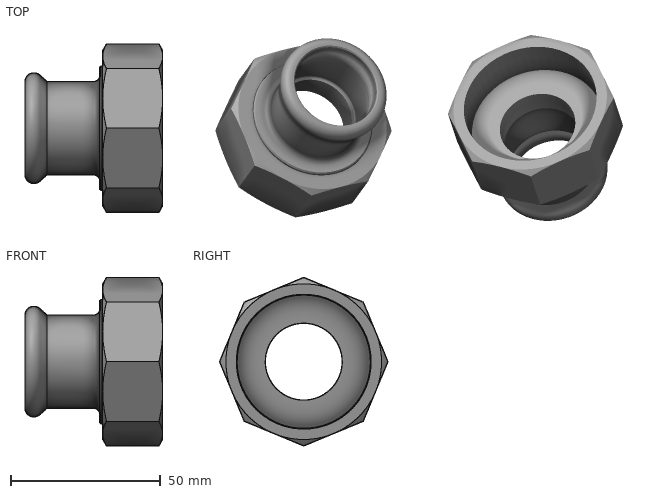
import cadquery as cq
import math


wall = 1.5
socket_bore_radius = 28.2 / 2
tube_radius = socket_bore_radius + wall
bead_radius = 3.0
bead_center_x = bead_radius
bead_center_r = 15.5
bead_cone_angle = math.radians(42)
inner_bend_radius = 3.0

lip_radius = 28.8 / 2
lip_chamfer = 0.4
lip_land_end_x = 1.27
lip_roll_radius = 2.3
lip_roll_angle = math.radians(60)

through_bore_radius = 25.6 / 2
pipe_stop_x = 23.0
pipe_stop_fillet = 0.5

collar_radius = 41.6 / 2
collar_start_x = 25.0
collar_fillet = 2.1
collar_chamfer_depth = 0.4
collar_chamfer_length = 0.5
flange_radius = 44.5 / 2
flange_thickness = 3.0

nut_sides = 8
nut_across_flats = 52.0
nut_start_x = 26.0
nut_length = 20.0
nut_lip_diameter = 42.0
nut_lip_thickness = 3.0
nut_bore_diameter = 45.05
nut_chamfer_angle = math.radians(30)
nut_lip_end_x = nut_start_x + nut_lip_thickness
flange_end_x = nut_lip_end_x + flange_thickness


def arc_point(center_x, center_r, radius, angle):
    """Point on a circle; the angle runs from the outward radial direction toward +X."""
    return (center_x + radius * math.sin(angle), center_r + radius * math.cos(angle))


def revolve_about_x(profile):
    return profile.revolve(360, (0, 0, 0), (1, 0, 0))


def bead_point(angle, radius=bead_radius):
    return arc_point(bead_center_x, bead_center_r, radius, angle)


def cone_end_x(cone_start, end_radius):
    """X where a bead cone that begins at cone_start comes down to end_radius."""
    start_x, start_radius = cone_start
    return start_x + (start_radius - end_radius) / math.tan(bead_cone_angle)


def make_fitting():
    """Press socket with rolled bead, pipe stop, collar and flange, revolved from one profile."""
    bead_end = bead_point(bead_cone_angle)
    fillet_start_x = collar_start_x - collar_fillet
    fillet_center_r = tube_radius + collar_fillet
    fillet_middle = arc_point(fillet_start_x, fillet_center_r, collar_fillet, math.radians(135))
    chamfer_start_r = collar_radius - collar_chamfer_depth
    chamfer_end_x = collar_start_x + collar_chamfer_length

    stop_center_x = pipe_stop_x - pipe_stop_fillet
    stop_center_r = socket_bore_radius - pipe_stop_fillet
    stop_middle = arc_point(stop_center_x, stop_center_r, pipe_stop_fillet, math.radians(45))

    inner_cone_start = bead_point(bead_cone_angle, bead_radius - wall)
    bend_corner_x = cone_end_x(inner_cone_start, socket_bore_radius)
    bend_x = bend_corner_x + inner_bend_radius * math.tan(bead_cone_angle / 2)
    bend_center_r = socket_bore_radius + inner_bend_radius
    bend_middle = arc_point(bend_x, bend_center_r, inner_bend_radius, math.pi + bead_cone_angle / 2)
    bend_end = arc_point(bend_x, bend_center_r, inner_bend_radius, math.pi + bead_cone_angle)

    roll_center_r = lip_radius + lip_roll_radius
    roll_end = arc_point(lip_land_end_x, roll_center_r, lip_roll_radius, math.pi - lip_roll_angle)
    roll_middle = arc_point(
        lip_land_end_x, roll_center_r, lip_roll_radius, math.pi - lip_roll_angle / 2
    )

    profile = (
        cq.Workplane("XZ")
        .moveTo(0, lip_radius + lip_chamfer)
        .lineTo(0, bead_center_r)
        .threePointArc(bead_point(-bead_cone_angle), bead_end)
        .lineTo(cone_end_x(bead_end, tube_radius), tube_radius)
        .lineTo(fillet_start_x, tube_radius)
        .threePointArc(fillet_middle, (collar_start_x, fillet_center_r))
        .lineTo(collar_start_x, chamfer_start_r)
        .lineTo(chamfer_end_x, collar_radius)
        .lineTo(nut_lip_end_x, collar_radius)
        .lineTo(nut_lip_end_x, flange_radius)
        .lineTo(flange_end_x, flange_radius)
        .lineTo(flange_end_x, through_bore_radius)
        .lineTo(pipe_stop_x, through_bore_radius)
        .lineTo(pipe_stop_x, stop_center_r)
        .threePointArc(stop_middle, (stop_center_x, socket_bore_radius))
        .lineTo(bend_x, socket_bore_radius)
        .threePointArc(bend_middle, bend_end)
        .lineTo(*inner_cone_start)
        .lineTo(*roll_end)
        .threePointArc(roll_middle, (lip_land_end_x, lip_radius))
        .lineTo(lip_chamfer, lip_radius)
        .close()
    )
    return revolve_about_x(profile)


def make_nut():
    """Octagonal nut with an inward lip and its corners turned down to cones at both ends."""
    flat_radius = nut_across_flats / 2
    corner_radius = flat_radius / math.cos(math.pi / nut_sides)
    corner_chamfer = (corner_radius - flat_radius) * math.tan(nut_chamfer_angle)
    nut_end_x = nut_start_x + nut_length

    prism = (
        cq.Workplane("YZ", origin=(nut_start_x, 0, 0))
        .polygon(nut_sides, 2 * corner_radius)
        .circle(nut_lip_diameter / 2)
        .extrude(nut_length)
    )
    bore = (
        cq.Workplane("YZ", origin=(nut_lip_end_x, 0, 0))
        .circle(nut_bore_diameter / 2)
        .extrude(nut_length - nut_lip_thickness)
    )
    turned_blank = revolve_about_x(
        cq.Workplane("XZ")
        .moveTo(nut_start_x, 0)
        .lineTo(nut_start_x, flat_radius)
        .lineTo(nut_start_x + corner_chamfer, corner_radius)
        .lineTo(nut_end_x - corner_chamfer, corner_radius)
        .lineTo(nut_end_x, flat_radius)
        .lineTo(nut_end_x, 0)
        .close()
    )
    return prism.intersect(turned_blank).cut(bore)


fitting = make_fitting()
nut = make_nut()

result = cq.Compound.makeCompound([fitting.val(), nut.val()])